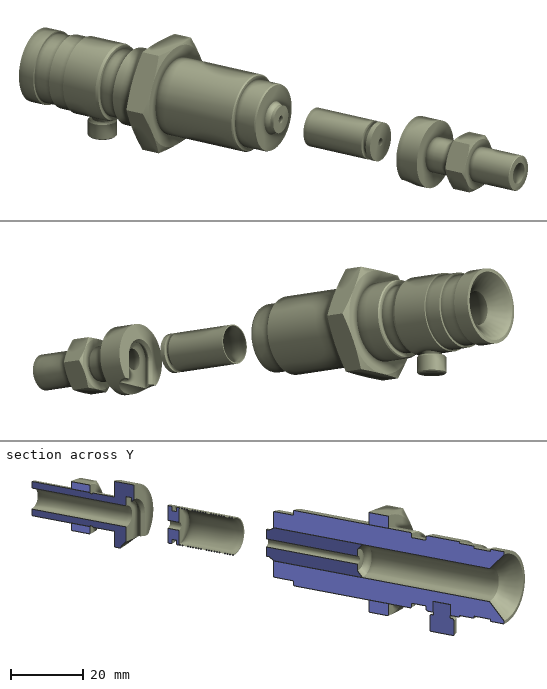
import cadquery as cq
import math

THROUGH_RADIUS = 1.1

MOUTH_RADIUS = 10.5
MOUTH_GROOVE_START = 4.7
MOUTH_GROOVE_END = 9.9
MOUTH_GROOVE_RADIUS = 9.9
BARREL_RADIUS = 11.0
COLLAR_START = 14.8
COLLAR_END = 26.0
COLLAR_CHAMFER_LENGTH = 0.8
BARREL_CHAMFER = 0.3
NECK_RADIUS = 9.5
BARREL_START = 30.8
BARREL_END = 70.1
HOUSING_LENGTH = 76.7
HOUSING_END_CHAMFER_LENGTH = 0.5
HOUSING_END_CHAMFER_DEPTH = 0.2

FUNNEL_RADIUS = 9.5
BORE_RADIUS = 4.7
FUNNEL_DEPTH = FUNNEL_RADIUS - BORE_RADIUS

INSERT_START = 47.0
INSERT_END = 79.1
INSERT_TIP_RADIUS = 4.0
INSERT_TIP_LENGTH = 1.0
INSERT_FLOOR_RADIUS = 3.1

SCREW_X = 20.7
SCREW_HEAD_RADIUS = 4.1
SCREW_SHANK_RADIUS = 2.8
SCREW_HEAD_TOP = -11.6
SCREW_BOTTOM = -16.6
SCREW_SHANK_TOP = -7.8
SCREW_TOP_CHAMFER = 0.5
SCREW_BOTTOM_CHAMFER = 0.3

PANEL_NUT_START = 38.5
PANEL_NUT_LENGTH = 6.6
PANEL_NUT_CORNERS = 33.5
PANEL_NUT_CHAMFER_LENGTH = 0.6

SLEEVE_START = 89.9
SLEEVE_RADIUS = 5.5
SLEEVE_BORE_RADIUS = 5.2
SLEEVE_FLOOR_X = 108.0
SLEEVE_GROOVE_START = 108.9
SLEEVE_GROOVE_END = 110.3
SLEEVE_GROOVE_RADIUS = 4.2
SLEEVE_END = 111.7

HEAD_START = 122.9
HEAD_LENGTH = 6.7
HEAD_RADIUS = 9.5
STUD_RADIUS = 5.0
STUD_END = 156.9
STUD_CHAMFER = 0.2
STUD_BORE_RADIUS = 3.0
RELIEF_WIDTH = 0.8
RELIEF_RADIUS = 4.7

SLOT_LIP_RADIUS = 4.5
SLOT_CHAMFER = 0.8
SLOT_LIP_THICKNESS = 1.1
SLOT_POCKET_RADIUS = 5.6
SLOT_DEPTH = 2.7
SLOT_SCOOP_RADIUS = 5.0
SLOT_SCOOP_Z = -11.6

STUD_NUT_START = 137.6
STUD_NUT_LENGTH = 6.3
STUD_NUT_CORNERS = 16.5
STUD_NUT_CHAMFER_LENGTH = 0.5


def revolved(profile):
    """Solid of revolution about X from (x, radius) points; the profile closes along the axis."""
    outline = [(profile[0][0], 0), *profile, (profile[-1][0], 0)]
    return cq.Workplane("XY").polyline(outline).close().revolve(360, (0, 0, 0), (1, 0, 0))


def rod(start, end, radius):
    """Plain cylinder along X."""
    return cq.Workplane("YZ").workplane(offset=start).circle(radius).extrude(end - start)


def make_screw():
    """Chamfered round head with a narrower shank reaching up into the housing wall."""
    head = (
        cq.Workplane("XY", origin=(SCREW_X, 0, SCREW_BOTTOM))
        .circle(SCREW_HEAD_RADIUS)
        .extrude(SCREW_HEAD_TOP - SCREW_BOTTOM)
        .faces(">Z").chamfer(SCREW_TOP_CHAMFER)
        .faces("<Z").chamfer(SCREW_BOTTOM_CHAMFER)
    )
    shank = (
        cq.Workplane("XY", origin=(SCREW_X, 0, SCREW_HEAD_TOP))
        .circle(SCREW_SHANK_RADIUS)
        .extrude(SCREW_SHANK_TOP - SCREW_HEAD_TOP)
    )
    return head.union(shank)


def make_insert():
    """Plug with a conical mouth, a small through hole and a tapered tip behind the housing."""
    plug = revolved([
        (INSERT_START, BORE_RADIUS),
        (HOUSING_LENGTH, BORE_RADIUS),
        (INSERT_END - INSERT_TIP_LENGTH, INSERT_TIP_RADIUS),
        (INSERT_END, INSERT_TIP_RADIUS),
    ])
    mouth = revolved([
        (INSERT_START, BORE_RADIUS),
        (INSERT_START + BORE_RADIUS - INSERT_FLOOR_RADIUS, INSERT_FLOOR_RADIUS),
    ])
    return plug.cut(mouth).cut(rod(INSERT_START, INSERT_END, THROUGH_RADIUS))


def make_housing(screw):
    """Stepped barrel with a 45-degree funnel, a through bore and a hole for the screw."""
    barrel_edge_radius = BARREL_RADIUS - BARREL_CHAMFER
    outside = revolved([
        (0, MOUTH_RADIUS),
        (MOUTH_GROOVE_START, MOUTH_RADIUS),
        (MOUTH_GROOVE_START, MOUTH_GROOVE_RADIUS),
        (MOUTH_GROOVE_END, MOUTH_GROOVE_RADIUS),
        (MOUTH_GROOVE_END, MOUTH_RADIUS),
        (COLLAR_START, MOUTH_RADIUS),
        (COLLAR_START, BARREL_RADIUS),
        (COLLAR_END - COLLAR_CHAMFER_LENGTH, BARREL_RADIUS),
        (COLLAR_END, barrel_edge_radius),
        (COLLAR_END, NECK_RADIUS),
        (BARREL_START, NECK_RADIUS),
        (BARREL_START, barrel_edge_radius),
        (BARREL_START + BARREL_CHAMFER, BARREL_RADIUS),
        (BARREL_END - BARREL_CHAMFER, BARREL_RADIUS),
        (BARREL_END, barrel_edge_radius),
        (BARREL_END, NECK_RADIUS),
        (HOUSING_LENGTH - HOUSING_END_CHAMFER_LENGTH, NECK_RADIUS),
        (HOUSING_LENGTH, NECK_RADIUS - HOUSING_END_CHAMFER_DEPTH),
    ])
    funnel_and_bore = revolved([
        (0, FUNNEL_RADIUS),
        (FUNNEL_DEPTH, BORE_RADIUS),
        (HOUSING_LENGTH, BORE_RADIUS),
    ])
    return outside.cut(funnel_and_bore).cut(screw)


def make_hex_nut(start, length, across_corners, hole_radius, chamfer_length):
    """Hex nut with flats facing up and down and its corners chamfered at both ends."""
    corner_radius = across_corners / 2
    end_radius = corner_radius * math.cos(math.pi / 6)
    end = start + length
    prism = (
        cq.Workplane("YZ").workplane(offset=start)
        .polygon(6, across_corners)
        .extrude(length)
    )
    envelope = revolved([
        (start, end_radius),
        (start + chamfer_length, corner_radius),
        (end - chamfer_length, corner_radius),
        (end, end_radius),
    ])
    return prism.intersect(envelope).cut(rod(start, end, hole_radius))


def make_sleeve():
    """Thin cup, open towards the housing, whose closed end carries a groove and a flange."""
    outside = revolved([
        (SLEEVE_START, SLEEVE_RADIUS),
        (SLEEVE_GROOVE_START, SLEEVE_RADIUS),
        (SLEEVE_GROOVE_START, SLEEVE_GROOVE_RADIUS),
        (SLEEVE_GROOVE_END, SLEEVE_GROOVE_RADIUS),
        (SLEEVE_GROOVE_END, SLEEVE_RADIUS),
        (SLEEVE_END, SLEEVE_RADIUS),
    ])
    cup = rod(SLEEVE_START, SLEEVE_FLOOR_X, SLEEVE_BORE_RADIUS)
    return outside.cut(cup).cut(rod(SLEEVE_FLOOR_X, SLEEVE_END, THROUGH_RADIUS))


def slot_layer(x, depth, radius):
    """Slot with a round top, running from the axis out through the bottom of the head."""
    return (
        cq.Workplane("YZ").workplane(offset=x)
        .moveTo(-radius, -HEAD_RADIUS)
        .lineTo(-radius, 0)
        .threePointArc((0, radius), (radius, 0))
        .lineTo(radius, -HEAD_RADIUS)
        .close()
        .extrude(depth)
    )


def make_t_slot():
    """Chamfered lip opening in front of a wider pocket that takes the sleeve flange."""
    mouth_radius = SLOT_LIP_RADIUS + SLOT_CHAMFER
    lip = slot_layer(HEAD_START, SLOT_DEPTH, SLOT_LIP_RADIUS)
    pocket = slot_layer(
        HEAD_START + SLOT_LIP_THICKNESS, SLOT_DEPTH - SLOT_LIP_THICKNESS, SLOT_POCKET_RADIUS
    )
    round_chamfer = revolved([
        (HEAD_START, mouth_radius),
        (HEAD_START + SLOT_CHAMFER, SLOT_LIP_RADIUS),
    ])
    straight_chamfer = (
        cq.Workplane("XY")
        .polyline([
            (HEAD_START, -mouth_radius),
            (HEAD_START, mouth_radius),
            (HEAD_START + SLOT_CHAMFER, SLOT_LIP_RADIUS),
            (HEAD_START + SLOT_CHAMFER, -SLOT_LIP_RADIUS),
        ])
        .close()
        .extrude(-HEAD_RADIUS)
    )
    return lip.union(pocket).union(round_chamfer).union(straight_chamfer)


def make_end_piece():
    """Round head with a T-slot and a scooped underside, and the hollow stud behind it."""
    head_end = HEAD_START + HEAD_LENGTH
    relief_start = STUD_NUT_START - RELIEF_WIDTH
    outside = revolved([
        (HEAD_START, HEAD_RADIUS),
        (head_end, HEAD_RADIUS),
        (head_end, STUD_RADIUS),
        (relief_start, STUD_RADIUS),
        (relief_start, RELIEF_RADIUS),
        (STUD_NUT_START, RELIEF_RADIUS),
        (STUD_NUT_START, STUD_RADIUS),
        (STUD_END - STUD_CHAMFER, STUD_RADIUS),
        (STUD_END, STUD_RADIUS - STUD_CHAMFER),
    ])
    scoop = (
        cq.Workplane("XZ", origin=(HEAD_START, 0, SLOT_SCOOP_Z))
        .circle(SLOT_SCOOP_RADIUS)
        .extrude(HEAD_RADIUS, both=True)
    )
    bore = rod(HEAD_START, STUD_END, STUD_BORE_RADIUS)
    return outside.cut(scoop).cut(make_t_slot()).cut(bore)


screw = make_screw()
housing = make_housing(screw)
insert = make_insert()
panel_nut = make_hex_nut(
    PANEL_NUT_START, PANEL_NUT_LENGTH, PANEL_NUT_CORNERS, BARREL_RADIUS, PANEL_NUT_CHAMFER_LENGTH
)
sleeve = make_sleeve()
end_piece = make_end_piece()
stud_nut = make_hex_nut(
    STUD_NUT_START, STUD_NUT_LENGTH, STUD_NUT_CORNERS, STUD_RADIUS, STUD_NUT_CHAMFER_LENGTH
)

result = cq.Compound.makeCompound([
    housing.val(),
    screw.val(),
    insert.val(),
    panel_nut.val(),
    sleeve.val(),
    end_piece.val(),
    stud_nut.val(),
])